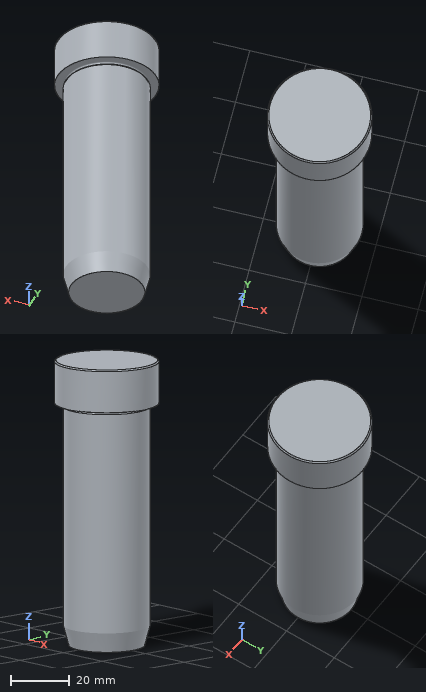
import cadquery as cq
import math

total_length = 100.0
head_diameter = 36.0
head_height = 15.0
shank_diameter = 30.0

head_chamfer = 0.5

groove_depth = 0.5
groove_width = 0.6
groove_fillet_radius = 0.5
groove_flare_height = 0.6

taper_height = 7.0
taper_angle = 15.0

head_radius = head_diameter / 2
shank_radius = shank_diameter / 2
groove_radius = shank_radius - groove_depth
tip_radius = shank_radius - taper_height * math.tan(math.radians(taper_angle))
head_bottom = total_length - head_height
groove_bottom = head_bottom - groove_width

half_section = (
    cq.Workplane("XZ")
    .lineTo(tip_radius, 0)
    .lineTo(shank_radius, taper_height)
    .lineTo(shank_radius, groove_bottom - groove_flare_height)
    .lineTo(groove_radius, groove_bottom)
    .lineTo(groove_radius, head_bottom - groove_fillet_radius)
    .radiusArc((groove_radius + groove_fillet_radius, head_bottom), groove_fillet_radius)
    .lineTo(head_radius, head_bottom)
    .lineTo(head_radius, total_length)
    .lineTo(0, total_length)
    .close()
)

pin = half_section.revolve(360, (0, 0, 0), (0, 1, 0))
result = pin.faces(">Z").edges().chamfer(head_chamfer)